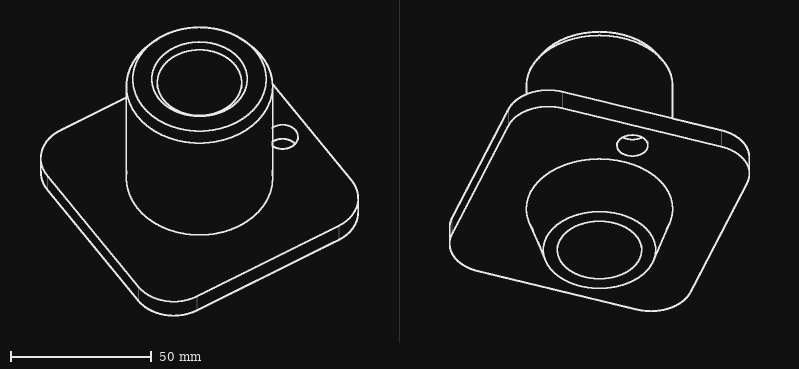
import cadquery as cq
import math

flange_side = 90.0
flange_thickness = 8.0
corner_radius = 15.0

sleeve_diameter = 52.0
sleeve_height = 56.0
nose_tip_diameter = 40.0
nose_height = 20.0
bore_diameter = 30.0

outer_chamfer_height = 4.0
outer_chamfer_width = outer_chamfer_height * math.tan(math.radians(30))
bore_chamfer = 2.0

pin_hole_diameter = 11.0
pin_hole_offset = 35.0

sleeve_radius = sleeve_diameter / 2
bore_radius = bore_diameter / 2
nose_tip_radius = nose_tip_diameter / 2
sleeve_top = flange_thickness + sleeve_height


def make_flange():
    return (
        cq.Workplane("XY")
        .rect(flange_side, flange_side)
        .extrude(flange_thickness)
        .edges("|Z")
        .fillet(corner_radius)
    )


def make_core():
    """Solid sleeve and nose, revolved about the Z axis."""
    return (
        cq.Workplane("XZ")
        .moveTo(0, -nose_height)
        .lineTo(nose_tip_radius, -nose_height)
        .lineTo(sleeve_radius, 0)
        .lineTo(sleeve_radius, sleeve_top - outer_chamfer_height)
        .lineTo(sleeve_radius - outer_chamfer_width, sleeve_top)
        .lineTo(0, sleeve_top)
        .close()
        .revolve(360, (0, 0), (0, 1))
    )


def make_bore():
    """Through bore, widened by a chamfer at the sleeve top."""
    return (
        cq.Workplane("XZ")
        .moveTo(0, -nose_height)
        .lineTo(bore_radius, -nose_height)
        .lineTo(bore_radius, sleeve_top - bore_chamfer)
        .lineTo(bore_radius + bore_chamfer, sleeve_top)
        .lineTo(0, sleeve_top)
        .close()
        .revolve(360, (0, 0), (0, 1))
    )


def make_pin_hole():
    return (
        cq.Workplane("XY")
        .center(0, pin_hole_offset)
        .circle(pin_hole_diameter / 2)
        .extrude(flange_thickness)
    )


result = make_flange().union(make_core()).cut(make_bore()).cut(make_pin_hole())